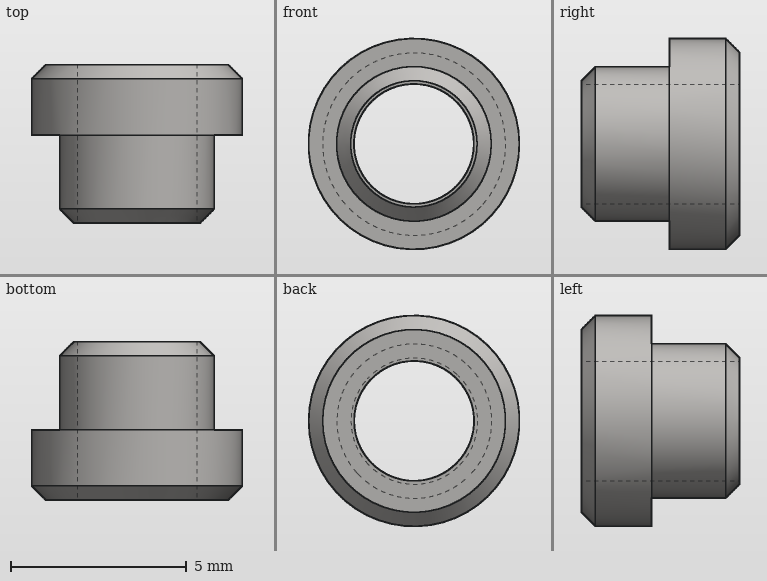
import cadquery as cq

flange_diameter = 6.0
sleeve_diameter = 4.4
bore_diameter = 3.4
total_length = 4.5
flange_length = 2.0
edge_chamfer = 0.4

sleeve_length = total_length - flange_length


def cylinder_along_y(diameter, start_y, length):
    """Solid cylinder running from start_y towards +Y."""
    return (
        cq.Workplane("XZ", origin=(0, start_y, 0))
        .circle(diameter / 2)
        .extrude(-length)
    )


sleeve = cylinder_along_y(sleeve_diameter, 0, sleeve_length)
sleeve = sleeve.faces("<Y").chamfer(edge_chamfer)

flange = cylinder_along_y(flange_diameter, sleeve_length, flange_length)
flange = flange.faces(">Y").chamfer(edge_chamfer)

bore = cylinder_along_y(bore_diameter, 0, total_length)

result = sleeve.union(flange).cut(bore)